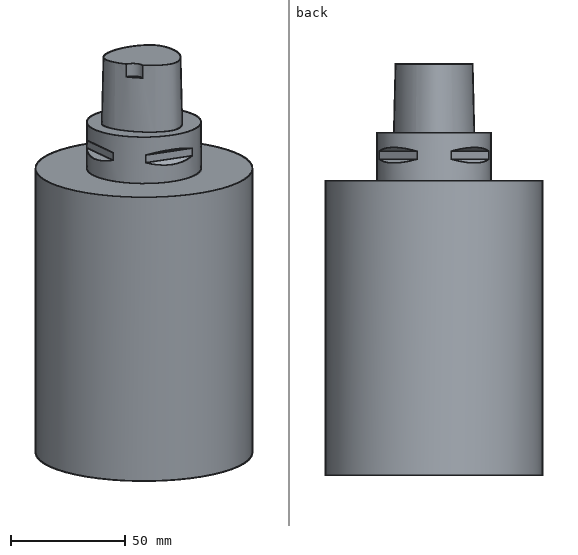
import cadquery as cq
import math

total_height = 180.0
body_diameter = 95.0
collar_diameter = 50.0
collar_height = 21.0
shank_height = 30.0
collar_top = total_height - shank_height
body_height = collar_top - collar_height

shank_top_radius = 17.0
shank_base_radius = 17.6
lobe_height = 1.17
lobe_count = 3
flank_angle = 44.0
points_per_face = 7

key_radius = 4.5
key_depth = 5.8
key_inner_distance = 13.5

groove_count = 4
groove_center_height = 140.0
groove_floor_distance = 22.1
groove_floor_height = 3.5
groove_mouth_height = 6.8


def lobed_point(radius, normal_angle, height):
    """Point of the constant-width outline where the normal has the given angle in degrees."""
    angle = math.radians(normal_angle)
    reach = radius - lobe_height * math.sin(lobe_count * angle)
    slide = -lobe_count * lobe_height * math.cos(lobe_count * angle)
    x = reach * math.cos(angle) - slide * math.sin(angle)
    y = reach * math.sin(angle) + slide * math.cos(angle)
    return cq.Vector(x, y, height)


def outline_edge(radius, start_angle, end_angle, height):
    step = (end_angle - start_angle) / (points_per_face - 1)
    points = [lobed_point(radius, start_angle + i * step, height) for i in range(points_per_face)]
    tangents = []
    for normal_angle in (start_angle, end_angle):
        angle = math.radians(normal_angle)
        tangents.append(cq.Vector(-math.sin(angle), math.cos(angle), 0))
    return cq.Edge.makeSpline(points, tangents=tangents)


def lobed_outline(radius, height):
    """Closed outline of alternating flanks and lobes, starting with the -Y flank."""
    pitch = 360 / lobe_count
    edges = []
    for i in range(lobe_count):
        flank_start = -90 - flank_angle / 2 + i * pitch
        flank_end = flank_start + flank_angle
        edges.append(outline_edge(radius, flank_start, flank_end, height))
        edges.append(outline_edge(radius, flank_end, flank_start + pitch, height))
    return cq.Wire.assembleEdges(edges)


def make_shank():
    base = lobed_outline(shank_base_radius, collar_top)
    top = lobed_outline(shank_top_radius, total_height)
    return cq.Workplane("XY").newObject([cq.Solid.makeLoft([base, top], True)])


def make_key_slot():
    return (
        cq.Workplane("XY", origin=(0, -key_inner_distance - key_radius, total_height - key_depth))
        .circle(key_radius)
        .extrude(key_depth)
    )


def make_groove(direction):
    """Straight groove cutter on the collar side facing the given angle."""
    outer_distance = collar_diameter / 2
    floor_half = groove_floor_height / 2
    mouth_half = groove_mouth_height / 2
    profile = [
        (groove_floor_distance, groove_center_height - floor_half),
        (outer_distance, groove_center_height - mouth_half),
        (outer_distance, groove_center_height + mouth_half),
        (groove_floor_distance, groove_center_height + floor_half),
    ]
    return (
        cq.Workplane("XZ")
        .polyline(profile)
        .close()
        .extrude(collar_diameter / 2, both=True)
        .rotate((0, 0, 0), (0, 0, 1), direction)
    )


body = cq.Workplane("XY").circle(body_diameter / 2).extrude(body_height)
collar = cq.Workplane("XY", origin=(0, 0, body_height)).circle(collar_diameter / 2).extrude(collar_height)
for i in range(groove_count):
    collar = collar.cut(make_groove((i + 0.5) * 360 / groove_count))
shank = make_shank().cut(make_key_slot())

result = body.union(collar).union(shank)